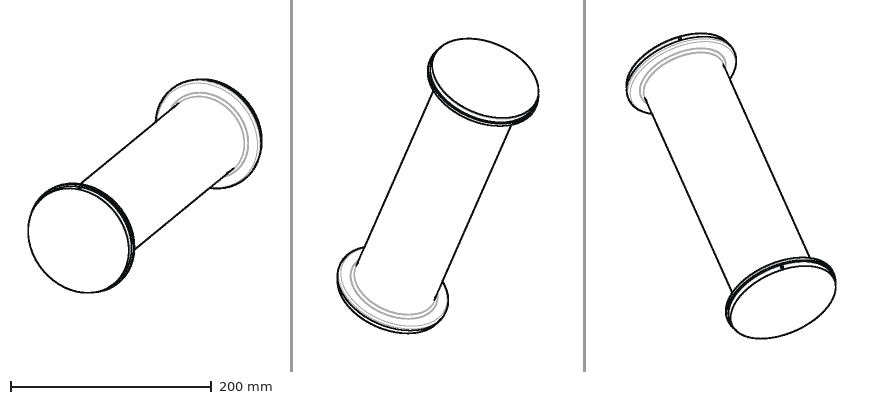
import cadquery as cq
import math

length = 305.0
tube_diameter = 85.0
flange_diameter = 115.5
cover_diameter = 112.0

cover_thickness = 6.2
flange_back_depth = 10.7
flange_back_round = 2.0

collar_size = 3.5
collar_blend = 1.2
collar_angle = 45.0

taper_angle = 15.0
taper_length = 1.0

port_diameter = 2.5
port_depth = 3.0
port_offset = 3.0

tube_radius = tube_diameter / 2
flange_radius = flange_diameter / 2
cover_radius = cover_diameter / 2
end = length / 2
cover_back = end - cover_thickness
flange_back = end - flange_back_depth
collar_start = flange_back - collar_size
taper_depth = taper_length * math.tan(math.radians(taper_angle))


def arc_offsets(radius, degrees):
    """Sideways and forward travel along an arc that starts out straight ahead."""
    turn = math.radians(degrees)
    return radius * (1 - math.cos(turn)), radius * math.sin(turn)


def make_tube():
    """Plain cylinder along Y between the two collars."""
    start_plane = cq.Workplane("XZ", origin=(0, collar_start, 0))
    return start_plane.circle(tube_radius).extrude(2 * collar_start)


def make_end():
    """Solid of revolution about Y for the +Y end: collar, flange and cover."""
    quarter_turn = 90.0
    blend_mid_side, blend_mid_ahead = arc_offsets(collar_blend, collar_angle / 2)
    blend_side, blend_ahead = arc_offsets(collar_blend, collar_angle)
    round_mid_side, round_mid_ahead = arc_offsets(flange_back_round, quarter_turn / 2)
    collar_radius = tube_radius + collar_size
    round_start_radius = flange_radius - flange_back_round

    return (
        cq.Workplane("XY")
        .moveTo(0, collar_start)
        .lineTo(tube_radius, collar_start)
        .threePointArc(
            (tube_radius + blend_mid_side, collar_start + blend_mid_ahead),
            (tube_radius + blend_side, collar_start + blend_ahead),
        )
        .lineTo(collar_radius - blend_ahead, flange_back - blend_side)
        .threePointArc(
            (collar_radius - blend_mid_ahead, flange_back - blend_mid_side),
            (collar_radius, flange_back),
        )
        .lineTo(round_start_radius, flange_back)
        .threePointArc(
            (round_start_radius + round_mid_ahead, flange_back + round_mid_side),
            (flange_radius, flange_back + flange_back_round),
        )
        .lineTo(flange_radius, cover_back)
        .lineTo(cover_radius - taper_depth, cover_back)
        .lineTo(cover_radius, cover_back + taper_length)
        .lineTo(cover_radius, end - taper_length)
        .lineTo(cover_radius - taper_depth, end)
        .lineTo(0, end)
        .close()
        .revolve(360, (0, 0, 0), (0, 1, 0))
    )


def make_port(side):
    """Cutter for the radial hole at the +Y (side = 1) or -Y (side = -1) end."""
    port_floor = (0, side * (end - port_offset), cover_radius - port_depth)
    floor_plane = cq.Workplane("XY", origin=port_floor)
    return floor_plane.circle(port_diameter / 2).extrude(2 * port_depth)


flanged_end = make_end()
result = make_tube().union(flanged_end).union(flanged_end.mirror("XZ"))
for side in (-1, 1):
    result = result.cut(make_port(side))